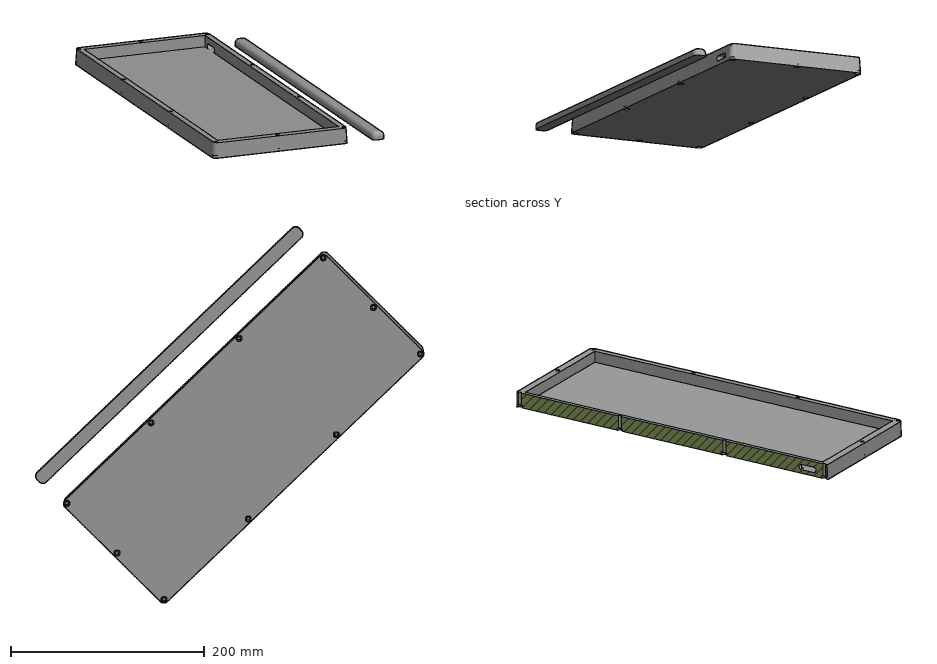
import cadquery as cq

length = 380.0
tray_width = 151.0
tray_height = 16.7
side_draft = 1.33
corner_radius = 5.0

end_wall = 8.5
long_wall = 8.0
floor_thickness = 4.5

hole_diameter = 3.4
counterbore_diameter = 6.0
counterbore_depth = 2.5
hole_inset_x = 4.0
hole_inset_y = 3.8
inner_hole_x = 64.0
middle_hole_y = -2.3

slot_left = -175.5
slot_right = -155.5
slot_height = 5.5

bar_width = 13.5
bar_height = 8.0
bar_radius = 5.0
radius_relief = 0.05
bar_gap = 27.5


def tray_shell():
    """Open tray whose long walls lean inward toward the rim."""
    half_base = tray_width / 2
    half_rim = half_base - side_draft
    block = (
        cq.Workplane("YZ")
        .polyline([
            (-half_base, 0),
            (half_base, 0),
            (half_rim, tray_height),
            (-half_rim, tray_height),
        ])
        .close()
        .extrude(length / 2, both=True)
    )
    corner_edges = block.faces("<X or >X").edges("not |Y")
    block = corner_edges.fillet(corner_radius)
    pocket = (
        cq.Workplane("XY", origin=(0, 0, floor_thickness))
        .rect(length - 2 * end_wall, tray_width - 2 * long_wall)
        .extrude(tray_height)
    )
    return block.cut(pocket)


def screw_holes():
    """Stepped cutters for four holes along each long wall and one in each end wall."""
    end_x = length / 2 - hole_inset_x
    row_y = tray_width / 2 - hole_inset_y
    row_x = (-end_x, -inner_hole_x, inner_hole_x, end_x)
    centres = [(x, y) for x in row_x for y in (-row_y, row_y)]
    centres += [(x, middle_hole_y) for x in (-end_x, end_x)]
    base = cq.Workplane("XY").pushPoints(centres)
    through_holes = base.circle(hole_diameter / 2).extrude(tray_height)
    counterbores = base.circle(counterbore_diameter / 2).extrude(counterbore_depth)
    return through_holes.union(counterbores)


def cable_slot():
    """Cutter that crosses the back wall and overshoots it on both sides."""
    return (
        cq.Workplane("XZ", origin=(0, tray_width / 2 - 2 * long_wall, 0))
        .center((slot_left + slot_right) / 2, floor_thickness + slot_height / 2)
        .slot2D(slot_right - slot_left, slot_height)
        .extrude(-3 * long_wall)
    )


def make_tray():
    return tray_shell().cut(screw_holes()).cut(cable_slot())


def make_bar():
    """Flat-bottomed strip with its upright corners and top edges rounded."""
    centre_y = tray_width / 2 + bar_gap + bar_width / 2
    return (
        cq.Workplane("XY", origin=(0, centre_y, 0))
        .rect(length, bar_width)
        .extrude(bar_height)
        .edges("|Z")
        .fillet(bar_radius)
        .faces(">Z")
        .edges()
        .fillet(bar_radius - radius_relief)
    )


tray = make_tray()
bar = make_bar()
result = cq.Compound.makeCompound([tray.val(), bar.val()])